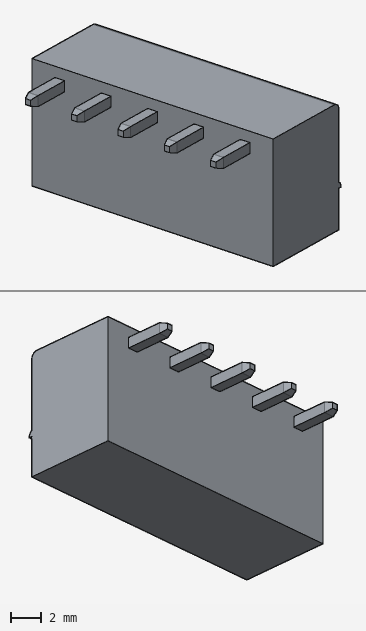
import cadquery as cq

body_width = 19.84
body_depth = 7.0
body_height = 9.2
top_edge_radius = 0.5

ridge_depth = 0.24
ridge_height = 0.45
ridge_bottom_z = 3.0
ridge_radius = (ridge_depth**2 + ridge_height**2) / (2 * ridge_depth)

pin_count = 5
pin_pitch = 3.8
pin_side = 0.8
pin_length = 3.4
pin_tip_length = 0.55
pin_tip_side = 0.44
pin_drop = 1.21

pin_z = body_height - pin_drop


def make_body():
    """Plain block with its upper +Y edge rounded."""
    block = cq.Workplane("XY").box(body_width, body_depth, body_height, centered=(True, False, False))
    return block.edges(">Y and >Z").fillet(top_edge_radius)


def make_ridge():
    """Full-width ridge whose arc leaves the flat underside vertically and curves back to the wall."""
    outer_y = body_depth + ridge_depth
    return (
        cq.Workplane("YZ", origin=(-body_width / 2, 0, 0))
        .moveTo(body_depth, ridge_bottom_z)
        .lineTo(outer_y, ridge_bottom_z)
        .radiusArc((body_depth, ridge_bottom_z + ridge_height), -ridge_radius)
        .close()
        .extrude(body_width)
    )


def make_pin(x):
    """Square pin pointing along -Y with a tapered tip."""
    shank_length = pin_length - pin_tip_length
    shank = cq.Workplane("XZ", origin=(x, 0, pin_z)).rect(pin_side, pin_side).extrude(shank_length)
    tip = (
        cq.Workplane("XZ", origin=(x, -shank_length, pin_z))
        .rect(pin_side, pin_side)
        .workplane(offset=pin_tip_length)
        .rect(pin_tip_side, pin_tip_side)
        .loft(ruled=True)
    )
    return shank.union(tip)


result = make_body().union(make_ridge())
for index in range(pin_count):
    pin_x = (index - (pin_count - 1) / 2) * pin_pitch
    result = result.union(make_pin(pin_x))